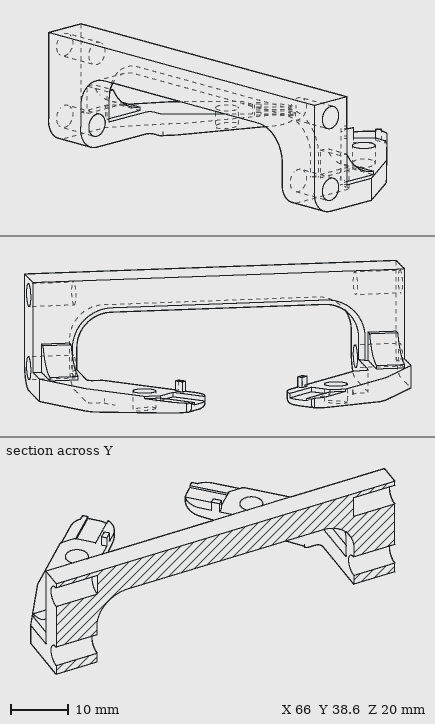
import cadquery as cq
import math

length = 66.0
depth = 38.58
height = 20.0

handle_depth = 8.0
leg_width = 8.0
window_height = 14.0
window_radius = 6.0
window_rear_chamfer = 1.0
hinge_radius = 4.0
front_setback = 0.03

pin_diameter = 4.0
upper_hole_z = 17.0
upper_hole_depth = 8.0

arm_angle = 45.0
arm_thickness = 4.0
arm_width = 8.0
arm_hole_x = -17.0
arm_hole_diameter = 4.0
outer_straight_y = 14.0
bend_x = -26.7
inner_straight_y = 17.0
shoulder_radius = 1.0

tip_reach = 12.0
prong_across = 3.0
outer_round_radius = 3.5
taper_length = 20.0
taper_height = 2.0
lower_edge_radius = 1.0
groove_start = 4.8
groove_outer = 2.0
groove_inner = -1.85
groove_floor_z = 3.2
outer_ledge_z = 3.6

peg_along = 4.5
peg_length = 1.5
peg_width = 1.0
peg_height = 1.8

gusset_width = 5.0
gusset_end_y = 16.0
gusset_top_z = 9.0
gusset_top_depth = 1.5
gusset_lip = 0.6
gusset_scoop_radius = 8.0

half_length = length / 2
leg_inner_x = -half_length + leg_width
half_arm = arm_width / 2
inner_round_start = tip_reach - half_arm
taper_slope = taper_height / taper_length
diagonal = math.sqrt(2)
arm_hole_y = depth - (tip_reach + prong_across) / diagonal
tolerance = 0.1
root_overlap = 1.5
cut_margin = 1.0


def arm_point(along, across):
    """XY place of a point given in the frame of the left arm."""
    return (
        arm_hole_x + (along - across) / diagonal,
        arm_hole_y + (along + across) / diagonal,
    )


def along_arm(point):
    """Distance of an XY point along the left arm, counted from the arm hole."""
    return (point[0] - arm_hole_x + point[1] - arm_hole_y) / diagonal


def place_on_arm(shape):
    """Move a shape drawn along X about the origin into the frame of the left arm."""
    return shape.rotate((0, 0, 0), (0, 0, 1), arm_angle).translate((arm_hole_x, arm_hole_y, 0))


def arm_box(along, across, z_range):
    """Box lined up with the left arm; each argument is a (low, high) pair."""
    box = cq.Workplane("XY").box(
        along[1] - along[0], across[1] - across[0], z_range[1] - z_range[0], centered=False
    )
    return place_on_arm(box.translate((along[0], across[0], z_range[0])))


def on_arm_edge(across, x=None, y=None):
    """Point of the line at this distance across the arm, at the given x or y."""
    y_minus_x = arm_hole_y - arm_hole_x + across * diagonal
    if x is None:
        x = y - y_minus_x
    return (x, x + y_minus_x)


def make_handle():
    body = cq.Workplane("XY").box(
        length, handle_depth - front_setback, height, centered=(True, False, False)
    ).translate((0, front_setback, 0))
    foot_corner = cq.Workplane("XY").box(
        length, hinge_radius, hinge_radius, centered=(True, False, False)
    )
    foot = (
        cq.Workplane("YZ")
        .center(hinge_radius, hinge_radius)
        .circle(hinge_radius)
        .extrude(half_length, both=True)
    )
    window = (
        cq.Workplane("XY")
        .box(
            -2 * leg_inner_x, handle_depth + 2 * cut_margin, window_height + cut_margin,
            centered=(True, False, False),
        )
        .translate((0, -cut_margin, -cut_margin))
        .edges("|Y and >Z")
        .fillet(window_radius)
    )
    handle = body.cut(foot_corner).union(foot).cut(window)
    rear_window_edges = cq.selectors.BoxSelector(
        (leg_inner_x - tolerance, handle_depth - tolerance, 0),
        (-leg_inner_x + tolerance, handle_depth + tolerance, window_height + tolerance),
    )
    return handle.edges(rear_window_edges).chamfer(window_rear_chamfer)


def make_arm_plate():
    bend = on_arm_edge(half_arm, x=bend_x)
    shoulder = on_arm_edge(-half_arm, y=inner_straight_y)
    inner_middle = half_arm / diagonal
    outer_start = tip_reach - outer_round_radius
    outer_centre = half_arm - outer_round_radius
    stop_angle = math.asin((prong_across - outer_centre) / outer_round_radius)

    def outer_round(angle):
        return arm_point(
            outer_start + outer_round_radius * math.cos(angle),
            outer_centre + outer_round_radius * math.sin(angle),
        )

    plate = (
        cq.Workplane("XY")
        .moveTo(-half_length, handle_depth - root_overlap)
        .lineTo(-half_length, outer_straight_y)
        .lineTo(*bend)
        .lineTo(*arm_point(outer_start, half_arm))
        .threePointArc(outer_round((math.pi / 2 + stop_angle) / 2), outer_round(stop_angle))
        .lineTo(*arm_point(tip_reach, prong_across))
        .lineTo(*arm_point(tip_reach, 0))
        .threePointArc(
            arm_point(inner_round_start + inner_middle, -inner_middle),
            arm_point(inner_round_start, -half_arm),
        )
        .lineTo(*shoulder)
        .lineTo(leg_inner_x, inner_straight_y)
        .lineTo(leg_inner_x, handle_depth - root_overlap)
        .close()
        .extrude(arm_thickness)
    )
    for corner_x, corner_y in (shoulder, (leg_inner_x, inner_straight_y)):
        near_corner = cq.selectors.BoxSelector(
            (corner_x - tolerance, corner_y - tolerance, 0),
            (corner_x + tolerance, corner_y + tolerance, arm_thickness),
        )
        plate = plate.edges("|Z").edges(near_corner).fillet(shoulder_radius)
    return plate


def make_taper():
    """Wedge under the arm that thins it towards the tip; it also runs on below the root."""
    start = tip_reach - taper_length
    reach = 2 * taper_length
    rise = taper_slope * reach
    wedge = (
        cq.Workplane("XZ")
        .polyline([
            (start - reach, -rise),
            (start + reach, rise),
            (start + reach, -arm_thickness),
            (start - reach, -arm_thickness),
        ])
        .close()
        .extrude(arm_width, both=True)
    )
    return place_on_arm(wedge)


def make_edge_round():
    """Sliver that rounds the underside along the sloping inner edge and around the tip."""
    shoulder_along = along_arm(on_arm_edge(-half_arm, y=inner_straight_y))
    start = shoulder_along + shoulder_radius * math.tan(math.radians(arm_angle / 2))
    round_middle = half_arm / diagonal
    bar = (
        cq.Workplane("XY")
        .workplane(offset=-arm_thickness)
        .moveTo(start, half_arm)
        .lineTo(tip_reach, half_arm)
        .lineTo(tip_reach, 0)
        .threePointArc(
            (inner_round_start + round_middle, -round_middle), (inner_round_start, -half_arm)
        )
        .lineTo(start, -half_arm)
        .close()
        .extrude(2 * arm_thickness)
    )
    bar = place_on_arm(bar).cut(make_taper())
    middle_along = (start + inner_round_start) / 2
    edge_z = taper_slope * (middle_along - tip_reach + taper_length)
    edge_middle = (*arm_point(middle_along, -half_arm), edge_z)
    rounded = bar.edges(cq.selectors.NearestToPointSelector(edge_middle)).fillet(lower_edge_radius)
    return bar.cut(rounded)


def make_tip_recesses():
    """Groove down the middle of the tip and the shallower ledge outside it."""
    beyond_tip = tip_reach + cut_margin
    above_arm = arm_thickness + cut_margin
    groove = arm_box(
        (groove_start, beyond_tip), (groove_inner, groove_outer), (groove_floor_z, above_arm)
    )
    ledge = arm_box((0, beyond_tip), (groove_outer, arm_width), (outer_ledge_z, above_arm))
    ledge_start_y = arm_point(groove_start, groove_outer)[1]
    behind_wall = cq.Workplane("XY").box(length, depth, height, centered=(True, False, True))
    behind_wall = behind_wall.translate((0, ledge_start_y - depth, 0))
    return groove.union(ledge.cut(behind_wall))


def make_peg():
    return arm_box(
        (peg_along, peg_along + peg_length),
        (-half_arm, -half_arm + peg_width),
        (arm_thickness - root_overlap, arm_thickness + peg_height),
    )


def make_gusset():
    lip_z = arm_thickness + gusset_lip
    top_end_y = handle_depth + gusset_top_depth
    profile = (
        cq.Workplane("YZ")
        .moveTo(handle_depth - root_overlap, arm_thickness - root_overlap)
        .lineTo(gusset_end_y, arm_thickness - root_overlap)
        .lineTo(gusset_end_y, lip_z)
        .radiusArc((top_end_y, gusset_top_z), gusset_scoop_radius)
        .lineTo(handle_depth - root_overlap, gusset_top_z)
        .close()
    )
    start_x = -half_length + (leg_width - gusset_width) / 2
    return profile.extrude(gusset_width).translate((start_x, 0, 0))


def make_arm():
    arm = make_arm_plate().cut(make_taper()).cut(make_edge_round())
    hole = (
        cq.Workplane("XY")
        .center(arm_hole_x, arm_hole_y)
        .circle(arm_hole_diameter / 2)
        .extrude(arm_thickness)
    )
    return arm.cut(make_tip_recesses()).cut(hole).union(make_peg()).union(make_gusset())


def cross_hole(z, hole_length):
    """Cylinder along X, entering from the left end of the handle."""
    hole = cq.Workplane("YZ").center(hinge_radius, z).circle(pin_diameter / 2).extrude(hole_length)
    return hole.translate((-half_length, 0, 0))


def both_sides(shape):
    return shape.union(shape.mirror("YZ"))


result = (
    make_handle()
    .union(both_sides(make_arm()))
    .cut(both_sides(cross_hole(upper_hole_z, upper_hole_depth)))
    .cut(cross_hole(hinge_radius, length))
)